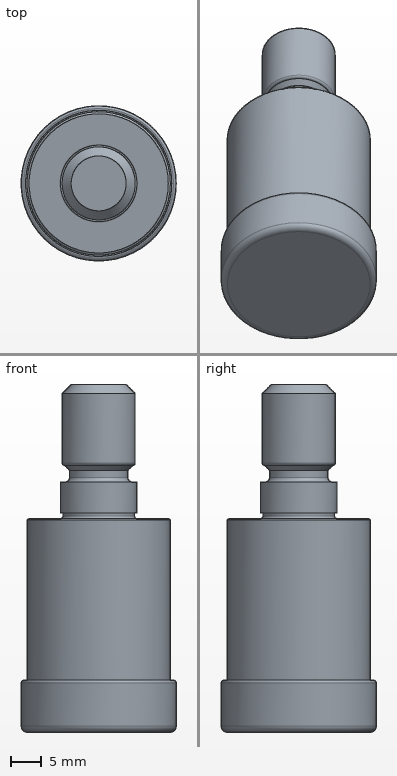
import cadquery as cq
import math

total_height = 57.0
cap_height = 8.55
shoulder_height = 35.0

cap_radius = 12.7
cap_top_round = 0.45
seat_radius = 11.95
seat_depth = 4.3
seat_floor = cap_height - seat_depth
cap_bottom_round = 1.0

barrel_radius = 11.75
barrel_edge_width = 0.35
barrel_edge_height = 0.15

stud_radius = 6.0
neck_radius = 5.85
neck_fillet = 0.45
collar_radius = 6.25
collar_bottom = 35.95
collar_top = 41.0
groove_radius = 4.8
groove_fillet = 0.8
groove_top = 43.7
shank_round = stud_radius - groove_radius - groove_fillet
tip_chamfer = 1.5


def make_cap():
    """Round cup with both outer rims rounded and a seat for the plunger."""
    cap = cq.Workplane("XY").circle(cap_radius).extrude(cap_height)
    cap = cap.faces(">Z").edges().fillet(cap_top_round)
    cap = cap.faces("<Z").edges().fillet(cap_bottom_round)
    seat = cq.Workplane("XY").workplane(offset=seat_floor).circle(seat_radius).extrude(seat_depth)
    return cap.cut(seat)


def make_plunger():
    """Barrel and stud, turned in one piece about the Z axis."""
    arc_reach = 1 - math.sqrt(0.5)
    neck_arc = arc_reach * neck_fillet
    groove_arc = arc_reach * groove_fillet
    shank_arc = arc_reach * shank_round
    profile = (
        cq.Workplane("XZ")
        .moveTo(0, seat_floor)
        .lineTo(seat_radius, seat_floor)
        .lineTo(seat_radius, cap_height)
        .lineTo(barrel_radius, cap_height)
        .lineTo(barrel_radius, shoulder_height - barrel_edge_height)
        .lineTo(barrel_radius - barrel_edge_width, shoulder_height)
        .lineTo(neck_radius + neck_fillet, shoulder_height)
        .threePointArc(
            (neck_radius + neck_arc, shoulder_height + neck_arc),
            (neck_radius, shoulder_height + neck_fillet),
        )
        .lineTo(neck_radius, collar_bottom)
        .lineTo(collar_radius, collar_bottom)
        .lineTo(collar_radius, collar_top)
        .lineTo(groove_radius + groove_fillet, collar_top)
        .threePointArc(
            (groove_radius + groove_arc, collar_top + groove_arc),
            (groove_radius, collar_top + groove_fillet),
        )
        .lineTo(groove_radius, groove_top - groove_fillet)
        .lineTo(groove_radius + groove_fillet, groove_top)
        .threePointArc(
            (stud_radius - shank_arc, groove_top + shank_arc),
            (stud_radius, groove_top + shank_round),
        )
        .lineTo(stud_radius, total_height - tip_chamfer)
        .lineTo(stud_radius - tip_chamfer, total_height)
        .lineTo(0, total_height)
        .close()
    )
    return profile.revolve(360, (0, 0, 0), (0, 1, 0))


cap = make_cap()
plunger = make_plunger()

result = cq.Compound.makeCompound([cap.val(), plunger.val()])